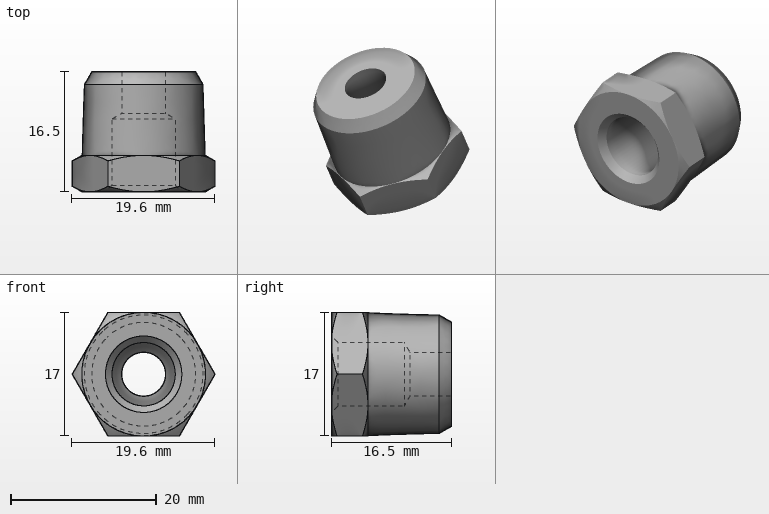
import cadquery as cq
import math

hex_sides = 6
across_flats = 17.0
head_length = 5.0
head_chamfer_angle = 30.0
envelope_clearance = 1.0

total_length = 16.5
shank_root_diameter = 16.9
shank_taper = 1 / 16
tip_chamfer_length = 1.75
tip_chamfer_angle = 30.0

countersink_diameter = 10.5
countersink_angle = 45.0
port_diameter = 8.7
port_depth = 10.0
port_cone_angle = 60.0
through_diameter = 6.0


def tan_deg(angle):
    return math.tan(math.radians(angle))


def revolve_about_y(profile):
    """Turn a closed list of (radius, y) points into a solid about the Y axis."""
    return cq.Workplane("XY").polyline(profile).close().revolve(360, (0, 0, 0), (0, 1, 0))


def make_head():
    """Hexagon with corners on X, its corners turned down to the flats at both ends."""
    flat_radius = across_flats / 2
    corner_radius = flat_radius / math.cos(math.pi / hex_sides)
    hexagon = cq.Workplane("XZ").polygon(hex_sides, 2 * corner_radius).extrude(-head_length)

    envelope_radius = corner_radius + envelope_clearance
    chamfer_depth = (envelope_radius - flat_radius) * tan_deg(head_chamfer_angle)
    envelope = revolve_about_y([
        (0, 0),
        (flat_radius, 0),
        (envelope_radius, chamfer_depth),
        (envelope_radius, head_length - chamfer_depth),
        (flat_radius, head_length),
        (0, head_length),
    ])
    return hexagon.intersect(envelope)


def make_shank():
    """Tapered shank from the back of the head to the chamfered tip."""
    root_radius = shank_root_diameter / 2
    chamfer_start = total_length - tip_chamfer_length
    chamfer_radius = root_radius - (chamfer_start - head_length) * shank_taper / 2
    tip_radius = chamfer_radius - tip_chamfer_length * tan_deg(tip_chamfer_angle)
    return revolve_about_y([
        (0, head_length),
        (root_radius, head_length),
        (chamfer_radius, chamfer_start),
        (tip_radius, total_length),
        (0, total_length),
    ])


def make_bore():
    """Material removed along the axis, entered from the head face."""
    port_radius = port_diameter / 2
    through_radius = through_diameter / 2
    countersink_radius = countersink_diameter / 2
    countersink_depth = (countersink_radius - port_radius) / tan_deg(countersink_angle)
    cone_length = (port_radius - through_radius) / tan_deg(port_cone_angle)
    return revolve_about_y([
        (0, 0),
        (countersink_radius, 0),
        (port_radius, countersink_depth),
        (port_radius, port_depth),
        (through_radius, port_depth + cone_length),
        (through_radius, total_length),
        (0, total_length),
    ])


result = make_head().union(make_shank()).cut(make_bore())